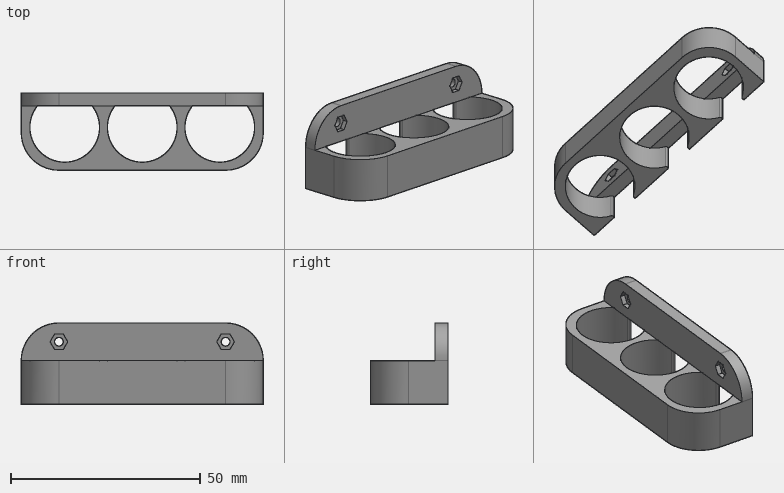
import cadquery as cq
import math

length = 64.0
depth = 20.5
height = 21.5
block_height = 11.5
corner_radius = 10.0

flange_thickness = 3.45
flange_height = height - block_height

cell_count = 3
cell_pitch = 20.5
cell_diameter = 18.4
front_wall = 2.2
slot_width = 7.9
slot_lip_radius = 0.5

screw_diameter = 2.25
screw_edge_distance = 10.0
nut_corner_diameter = 4.7
nut_depth = 1.35

front_y = -depth / 2
back_y = depth / 2
flange_front_y = back_y - flange_thickness
cell_y = front_y + front_wall + cell_diameter / 2
screw_x = length / 2 - screw_edge_distance
screw_z = block_height + flange_height / 2


def make_block():
    """Base block with its two front vertical corners rounded."""
    block = cq.Workplane("XY").box(length, depth, block_height, centered=(True, True, False))
    return block.edges("|Z and <Y").fillet(corner_radius)


def make_flange():
    """Upright plate whose top corners are quarter rounds."""
    flat_end = length / 2 - corner_radius
    return (
        cq.Workplane("XZ", origin=(0, back_y, 0))
        .moveTo(-length / 2, 0)
        .lineTo(length / 2, 0)
        .lineTo(length / 2, height - corner_radius)
        .radiusArc((flat_end, height), -corner_radius)
        .lineTo(-flat_end, height)
        .radiusArc((-length / 2, height - corner_radius), -corner_radius)
        .close()
        .extrude(flange_thickness)
    )


def make_cell(x):
    """Vertical bore, joined to the back face by a slot with rounded inner lips."""
    bore = cq.Workplane("XY").center(x, cell_y).circle(cell_diameter / 2).extrude(block_height)
    slot_length = back_y - cell_y
    slot = (
        cq.Workplane("XY")
        .center(x, cell_y + slot_length / 2)
        .rect(slot_width, slot_length)
        .extrude(block_height)
    )
    cell = bore.union(slot)
    lip_y = cell_y + math.sqrt((cell_diameter / 2) ** 2 - (slot_width / 2) ** 2)
    for side in (-1, 1):
        lip_point = (x + side * slot_width / 2, lip_y, block_height / 2)
        cell = cell.edges(cq.selectors.NearestToPointSelector(lip_point)).fillet(slot_lip_radius)
    return cell


def make_screw_hole(x):
    """Through hole with a nut pocket entering from the flange's front face."""
    hole = (
        cq.Workplane("XZ", origin=(x, back_y, screw_z))
        .circle(screw_diameter / 2)
        .extrude(flange_thickness)
    )
    pocket = (
        cq.Workplane("XZ", origin=(x, flange_front_y + nut_depth, screw_z))
        .polygon(6, nut_corner_diameter)
        .extrude(nut_depth)
    )
    return hole.union(pocket)


result = make_block().union(make_flange())

for index in range(cell_count):
    cell_x = (index - (cell_count - 1) / 2) * cell_pitch
    result = result.cut(make_cell(cell_x))

for side in (-1, 1):
    result = result.cut(make_screw_hole(side * screw_x))